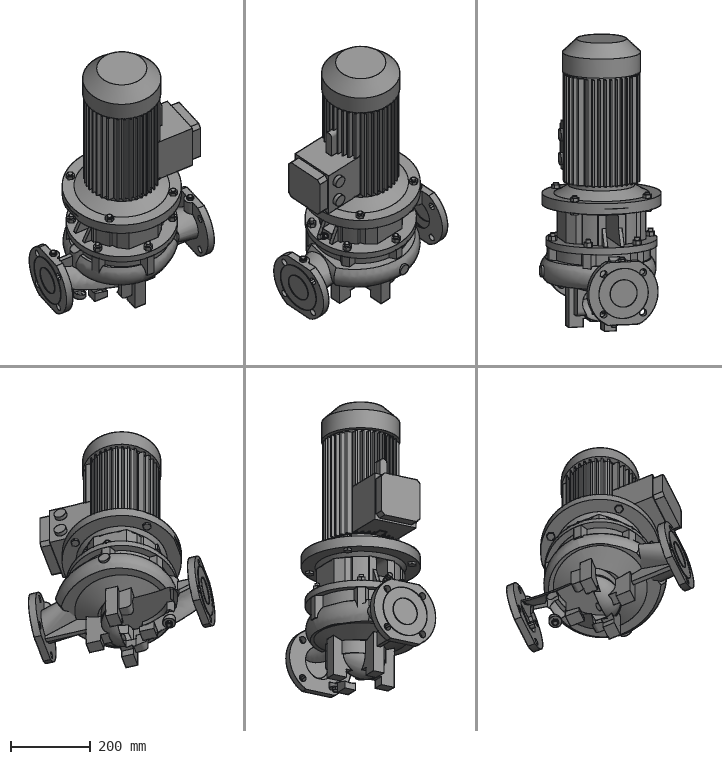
import cadquery as cq
import math

PORT_Z = 120.0
VOLUTE_BOTTOM_Z = 116.0
VOLUTE_TOP_Z = 174.0
CASING_TOP_Z = 205.0
COVER_TOP_Z = 222.5
WINDOW_TOP_Z = 300.0
MOTOR_FLANGE_Z = 310.0
MOTOR_FLANGE_TOP_Z = 338.0
SHIELD_TOP_Z = 358.0
FIN_BOTTOM_Z = 369.5
FIN_TOP_Z = 643.0
HOOD_BOTTOM_Z = 649.0
HOOD_SHOULDER_Z = 698.0
HOOD_TOP_Z = 732.0

MOTOR_FLANGE_R = 150.0
SHIELD_BASE_R = 120.0
SHIELD_NECK_R = 83.0
MOTOR_CORE_R = 86.0
FIN_OUTER_R = 96.5
FIN_PITCH = 14.5
FIN_THICKNESS = 4.0
FINS_EACH_WAY = 4
HOOD_R = 98.5
HOOD_TOP_R = 63.0
FLAT_WIDTH = 60.0
FLAT_HEIGHT = 14.0
LUG_WIDTH = 21.0
LUG_Y = 112.5
LUG_TOP_Z = 566.0
MOTOR_BOLT_CIRCLE_R = 133.0
BOLT_R = 6.0
NUT_ACROSS_CORNERS = 22.0
MOTOR_NUT_HEIGHT = 8.5
MOTOR_BOLT_HEIGHT = 13.0
MOTOR_BOLT_HEAD = 6.0

BOX_WIDTH = 121.0
BOX_INNER_Y = 61.0
BOX_OUTER_Y = 171.5
BOX_BOTTOM_Z = 372.0
BOX_TOP_Z = 496.0
LID_WIDTH = 113.0
LID_Y = 198.0
LID_INSET_Z = 5.5
LID_CHAMFER = 9.5
GLAND_R = 15.5
GLAND_LENGTH = 11.0
GLAND_Y = 141.0
GLAND_HEIGHTS = (403.0, 464.0)

COVER_R = 140.0
LANTERN_R = 105.0
FLARE_R = 115.0
PANEL_X = 104.0
PANEL_FLAT_Y = 43.0
PANEL_EDGE_X = 84.0
PANEL_EDGE_Y = 65.0
PANEL_ROOT_X = 70.0
PANEL_ROOT_Y = 71.0
FRAME_WIDTH = 72.0
WINDOW_WIDTH = 33.0
WINDOW_CORNER_R = 7.0
GUSSET_THICKNESS = 9.5
GUSSET_TOP_Z = 266.0
GUSSET_FOOT_Y = 126.0
SEAL_BLOCK_Z = 246.0
SEAL_BLOCK_INNER_Y = 70.0
SEAL_BLOCK_OUTER_Y = 118.0
SEAL_BOSS_R = 12.0
SEAL_BORE_R = 6.0
SEAL_BOSS_LENGTH = 6.0
STUD_CIRCLE_R = 127.0
STUD_COUNT = 6
STUD_NUT_HEIGHT = 11.0
STUD_HEIGHT = 18.5

VENT_TILT = 22.0
VENT_START_Y = 108.0
VENT_START_Z = 228.0
VENT_STEM_R = 5.5
VENT_STEM_LENGTH = 34.0
VENT_NUT_START = 18.0
VENT_NUT_LENGTH = 10.0
VENT_NUT_SIZE = 17.0
VENT_CAP_LENGTH = 7.0
VENT_CAP_R = 6.5

NECK_R = 123.0
STUD_LUG_OUTER_R = 139.0
STUD_LUG_INNER_R = 115.0
STUD_LUG_ROOT_WIDTH = 44.0
STUD_LUG_TIP_WIDTH = 20.0
VOLUTE_FRONT_R = 144.0
VOLUTE_LEFT_R = 155.0
VOLUTE_RIGHT_R = 136.0
VOLUTE_EDGE_SCALE = 0.915
BELLY_DEPTH = 22.0
BELLY_TOP_R = 118.0
BELLY_BOTTOM_R = 60.0
MOUTH_SHOULDER = (-124.0, 98.0)
MOUTH_LEFT = (-62.0, 155.0)
MOUTH_RIGHT = (55.0, 135.0)
SIDE_DISC_R = 14.5
SIDE_DISC_X = -158.0
PORT_FACE_Y = 220.0
PORT_FLANGE_THICKNESS = 19.0
RAISED_FACE_HEIGHT = 2.0
PORT_FLANGE_R = 90.0
PORT_FLANGE_HALF_HEIGHT = 80.0
RAISED_FACE_R = 64.0
PORT_BOLT_CIRCLE_R = 72.5
PORT_HOLE_R = 9.0
PORT_RECESS_R = 35.0
PORT_RECESS_DEPTH = 2.0
PIPE_R = 43.0
GAUGE_Y = 202.0
GAUGE_BOSS_R = 16.0
BOWL_Z = 60.0
BOWL_HALF_WIDTH = 67.0
BOWL_R = 50.0
SUCTION_BEND_Y = -110.0
SUCTION_BEND_Z = 80.0
SUCTION_BEND_HALF_WIDTH = 54.0
SUCTION_BEND_HALF_HEIGHT = 48.0
RIB_THICKNESS = 11.0
POST_WIDTH = 28.0
POST_FRONT_Y = -149.0
POST_FRONT_Z = 185.0
POST_REAR_Z = 196.0
POST_CORNER_R = 12.0
REAR_RIB_BOTTOM_Z = 68.0
LEG_REACH = 89.0
LEG_WIDTH = 31.0
LEG_NOTCH_REACH = 51.0
LEG_NOTCH_HEIGHT = 21.5
WEB_REACH = 75.0
WEB_FRONT_Y = -47.0
WEB_BOTTOM_Z = 33.0
WEB_CORNER_R = 12.0
DRAIN_Y = -124.0
DRAIN_BOSS_BOTTOM_Z = 26.0

PLUG_HEX_SIZE = 19.0
PLUG_HEX_HEIGHT = 5.0
PLUG_CAP_R = 6.0
PLUG_CAP_HEIGHT = 4.0


def disc(radius, z_low, z_high, x=0.0, y=0.0):
    """Vertical cylinder between two heights."""
    return cq.Workplane("XY", origin=(x, y, z_low)).circle(radius).extrude(z_high - z_low)


def block(x_low, x_high, y_low, y_high, z_low, z_high):
    """Box given by its limits along each axis."""
    size = (x_high - x_low, y_high - y_low, z_high - z_low)
    return cq.Workplane("XY", origin=(x_low, y_low, z_low)).box(*size, centered=False)


def hexagon(size, z_low, z_high, x=0.0, y=0.0):
    """Vertical hexagonal prism; size is across corners."""
    return cq.Workplane("XY", origin=(x, y, z_low)).polygon(6, size).extrude(z_high - z_low)


def ring_points(radius, count, start_degrees=0.0):
    """Evenly spaced points on a circle."""
    angles = [math.radians(start_degrees + 360.0 * i / count) for i in range(count)]
    return [(radius * math.cos(a), radius * math.sin(a)) for a in angles]


def make_fins():
    reach = 2 * HOOD_R
    height = FIN_TOP_Z - FIN_BOTTOM_Z
    offsets = [i * FIN_PITCH for i in range(-FINS_EACH_WAY, FINS_EACH_WAY + 1)]
    plane = cq.Workplane("XY", origin=(0, 0, FIN_BOTTOM_Z))
    lengthwise = plane.pushPoints([(x, 0) for x in offsets]).rect(FIN_THICKNESS, reach).extrude(height)
    crosswise = plane.pushPoints([(0, y) for y in offsets]).rect(reach, FIN_THICKNESS).extrude(height)
    return lengthwise.union(crosswise).intersect(disc(FIN_OUTER_R, FIN_BOTTOM_Z, FIN_TOP_Z))


def make_motor():
    profile = [
        (0, MOTOR_FLANGE_Z),
        (MOTOR_FLANGE_R, MOTOR_FLANGE_Z),
        (MOTOR_FLANGE_R, MOTOR_FLANGE_TOP_Z),
        (SHIELD_BASE_R, MOTOR_FLANGE_TOP_Z),
        (SHIELD_NECK_R, SHIELD_TOP_Z),
        (SHIELD_NECK_R, FIN_BOTTOM_Z),
        (MOTOR_CORE_R, FIN_BOTTOM_Z),
        (MOTOR_CORE_R, HOOD_BOTTOM_Z),
        (HOOD_R, HOOD_BOTTOM_Z),
        (HOOD_R, HOOD_SHOULDER_Z),
        (HOOD_TOP_R, HOOD_TOP_Z),
        (0, HOOD_TOP_Z),
    ]
    body = cq.Workplane("XZ").polyline(profile).close().revolve(360, (0, 0, 0), (0, 1, 0))
    body = body.union(make_fins())

    lug_r = LUG_WIDTH / 2
    lug = block(-lug_r, lug_r, 0, LUG_Y, FIN_BOTTOM_Z, LUG_TOP_Z - lug_r)
    lug_top = cq.Workplane("XZ", origin=(0, 0, LUG_TOP_Z - lug_r)).circle(lug_r).extrude(-LUG_Y)
    body = body.union(lug).union(lug_top)

    flat_y = math.sqrt(MOTOR_FLANGE_R**2 - (FLAT_WIDTH / 2) ** 2)
    flat = block(-FLAT_WIDTH / 2, FLAT_WIDTH / 2, -MOTOR_FLANGE_R, -flat_y,
                 MOTOR_FLANGE_Z, MOTOR_FLANGE_Z + FLAT_HEIGHT)
    body = body.cut(flat)

    for x, y in ring_points(MOTOR_BOLT_CIRCLE_R, 4, 45):
        nut_top_z = MOTOR_FLANGE_TOP_Z + MOTOR_NUT_HEIGHT
        body = body.union(hexagon(NUT_ACROSS_CORNERS, MOTOR_FLANGE_TOP_Z, nut_top_z, x, y))
        body = body.union(disc(BOLT_R, nut_top_z, MOTOR_FLANGE_TOP_Z + MOTOR_BOLT_HEIGHT, x, y))
        head_z = MOTOR_FLANGE_Z - MOTOR_BOLT_HEAD
        body = body.union(hexagon(NUT_ACROSS_CORNERS, head_z, MOTOR_FLANGE_Z, x, y))
    return body


def make_terminal_box():
    half = BOX_WIDTH / 2
    box = block(-half, half, BOX_INNER_Y, BOX_OUTER_Y, BOX_BOTTOM_Z, BOX_TOP_Z)
    lid = block(-LID_WIDTH / 2, LID_WIDTH / 2, BOX_OUTER_Y, LID_Y,
                BOX_BOTTOM_Z + LID_INSET_Z, BOX_TOP_Z - LID_INSET_Z)
    box = box.union(lid.edges("|Y").chamfer(LID_CHAMFER))
    for z in GLAND_HEIGHTS:
        gland = cq.Workplane("YZ", origin=(-half, GLAND_Y, z)).circle(GLAND_R).extrude(-GLAND_LENGTH)
        box = box.union(gland)
    return box


def make_gussets():
    side = [
        (LANTERN_R - GUSSET_THICKNESS, COVER_TOP_Z),
        (GUSSET_FOOT_Y, COVER_TOP_Z),
        (LANTERN_R, GUSSET_TOP_Z),
        (LANTERN_R - GUSSET_THICKNESS, GUSSET_TOP_Z),
    ]
    inner_x = WINDOW_WIDTH / 2
    gusset = cq.Workplane("YZ", origin=(inner_x, 0, 0)).polyline(side).close().extrude(GUSSET_THICKNESS)
    pair = gusset.union(gusset.mirror("YZ"))
    return pair.union(pair.mirror("XZ"))


def make_lantern():
    column = disc(LANTERN_R, COVER_TOP_Z, MOTOR_FLANGE_Z)
    panel_quarter = [
        (PANEL_X, PANEL_FLAT_Y),
        (PANEL_EDGE_X, PANEL_EDGE_Y),
        (PANEL_ROOT_X, PANEL_ROOT_Y),
    ]
    panel_half = panel_quarter + [(-x, y) for x, y in reversed(panel_quarter)]
    panel = panel_half + [(-x, -y) for x, y in panel_half]
    panel_height = WINDOW_TOP_Z - COVER_TOP_Z
    panels = cq.Workplane("XY", origin=(0, 0, COVER_TOP_Z)).polyline(panel).close().extrude(panel_height)
    for x_low, x_high in ((-LANTERN_R, -PANEL_ROOT_X), (PANEL_ROOT_X, LANTERN_R)):
        opening = block(x_low, x_high, -LANTERN_R, LANTERN_R, COVER_TOP_Z, WINDOW_TOP_Z)
        column = column.cut(opening)
    column = column.union(panels)

    frame = block(-FRAME_WIDTH / 2, FRAME_WIDTH / 2, -LANTERN_R, LANTERN_R, COVER_TOP_Z, WINDOW_TOP_Z)
    flare = cq.Workplane("XZ").polyline(
        [(0, WINDOW_TOP_Z), (LANTERN_R, WINDOW_TOP_Z), (FLARE_R, MOTOR_FLANGE_Z), (0, MOTOR_FLANGE_Z)]
    ).close().revolve(360, (0, 0, 0), (0, 1, 0))
    body = column.union(frame).union(flare)

    window = block(-WINDOW_WIDTH / 2, WINDOW_WIDTH / 2, -COVER_R, COVER_R, COVER_TOP_Z, WINDOW_TOP_Z)
    body = body.cut(window.edges("|Y and >Z").fillet(WINDOW_CORNER_R))

    seal_z = (COVER_TOP_Z + SEAL_BLOCK_Z) / 2
    seal_block = block(-WINDOW_WIDTH / 2, WINDOW_WIDTH / 2, SEAL_BLOCK_INNER_Y, SEAL_BLOCK_OUTER_Y,
                       COVER_TOP_Z, SEAL_BLOCK_Z)
    seal_boss = (
        cq.Workplane("XZ", origin=(0, SEAL_BLOCK_INNER_Y, seal_z))
        .circle(SEAL_BOSS_R)
        .circle(SEAL_BORE_R)
        .extrude(SEAL_BOSS_LENGTH)
    )
    body = body.union(disc(COVER_R, CASING_TOP_Z, COVER_TOP_Z))
    body = body.union(make_gussets()).union(seal_block).union(seal_boss)

    for x, y in ring_points(STUD_CIRCLE_R, STUD_COUNT):
        nut_top_z = COVER_TOP_Z + STUD_NUT_HEIGHT
        body = body.union(hexagon(NUT_ACROSS_CORNERS, COVER_TOP_Z, nut_top_z, x, y))
        body = body.union(disc(BOLT_R, nut_top_z, COVER_TOP_Z + STUD_HEIGHT, x, y))
    return body


def make_air_vent():
    tilt = math.radians(VENT_TILT)
    axis = cq.Vector(0, math.cos(tilt), math.sin(tilt))
    start = cq.Vector(0, VENT_START_Y, VENT_START_Z)

    def at(distance):
        return cq.Workplane(cq.Plane(origin=start + axis * distance, xDir=(1, 0, 0), normal=axis))

    stem = at(0).circle(VENT_STEM_R).extrude(VENT_STEM_LENGTH)
    nut = at(VENT_NUT_START).polygon(6, VENT_NUT_SIZE).extrude(VENT_NUT_LENGTH)
    cap = at(VENT_STEM_LENGTH).circle(VENT_CAP_R).extrude(VENT_CAP_LENGTH)
    return stem.union(nut).union(cap)


def make_port_flange():
    """Flange on the front port, with its raised face toward -Y."""
    back_y = -PORT_FACE_Y + RAISED_FACE_HEIGHT + PORT_FLANGE_THICKNESS
    rim = cq.Workplane("XZ", origin=(0, back_y, PORT_Z)).circle(PORT_FLANGE_R).extrude(PORT_FLANGE_THICKNESS)
    trim = block(-PORT_FLANGE_R, PORT_FLANGE_R, -PORT_FACE_Y, back_y,
                 PORT_Z - PORT_FLANGE_HALF_HEIGHT, PORT_Z + PORT_FLANGE_HALF_HEIGHT)
    flange = rim.intersect(trim)
    holes = (
        cq.Workplane("XZ", origin=(0, back_y, PORT_Z))
        .pushPoints(ring_points(PORT_BOLT_CIRCLE_R, 4, 45))
        .circle(PORT_HOLE_R)
        .extrude(PORT_FLANGE_THICKNESS)
    )
    face = cq.Workplane("XZ", origin=(0, back_y, PORT_Z)).circle(RAISED_FACE_R).extrude(
        PORT_FLANGE_THICKNESS + RAISED_FACE_HEIGHT)
    boss = disc(GAUGE_BOSS_R, PORT_Z, PORT_Z + PORT_FLANGE_HALF_HEIGHT, 0, -GAUGE_Y)
    boss = boss.intersect(block(-GAUGE_BOSS_R, GAUGE_BOSS_R, -GAUGE_Y, 0, PORT_Z, CASING_TOP_Z))
    recess = cq.Workplane("XZ", origin=(0, -PORT_FACE_Y + PORT_RECESS_DEPTH, PORT_Z))
    recess = recess.circle(PORT_RECESS_R).extrude(PORT_RECESS_DEPTH)
    return flange.cut(holes).union(face).cut(recess).union(boss)


def volute_section(scale, z):
    """Spiral outline at one height, with its mouth toward the rear pipe."""
    diagonal = math.sqrt(0.5)
    front_left = diagonal * (VOLUTE_LEFT_R + VOLUTE_FRONT_R) / 2
    front_right = diagonal * (VOLUTE_RIGHT_R + VOLUTE_FRONT_R) / 2
    rear_right = diagonal * VOLUTE_RIGHT_R

    def scaled(x, y):
        return (scale * x, scale * y)

    return (
        cq.Workplane("XY", origin=(0, 0, z))
        .moveTo(*scaled(VOLUTE_RIGHT_R, 0))
        .threePointArc(scaled(front_right, -front_right), scaled(0, -VOLUTE_FRONT_R))
        .threePointArc(scaled(-front_left, -front_left), scaled(-VOLUTE_LEFT_R, 0))
        .threePointArc(scaled(*MOUTH_SHOULDER), scaled(*MOUTH_LEFT))
        .lineTo(*scaled(*MOUTH_RIGHT))
        .threePointArc(scaled(rear_right, rear_right), scaled(VOLUTE_RIGHT_R, 0))
        .close()
        .val()
    )


def make_volute():
    """Spiral ring with bulging sides, widest at mid height, and the cone below it."""
    middle_z = (VOLUTE_BOTTOM_Z + VOLUTE_TOP_Z) / 2
    sections = [
        volute_section(VOLUTE_EDGE_SCALE, VOLUTE_BOTTOM_Z),
        volute_section(1.0, middle_z),
        volute_section(VOLUTE_EDGE_SCALE, VOLUTE_TOP_Z),
    ]
    spiral = cq.Workplane(cq.Solid.makeLoft(sections))
    belly = cq.Workplane("XZ").polyline([
        (0, VOLUTE_BOTTOM_Z),
        (BELLY_TOP_R, VOLUTE_BOTTOM_Z),
        (BELLY_BOTTOM_R, VOLUTE_BOTTOM_Z - BELLY_DEPTH),
        (0, VOLUTE_BOTTOM_Z - BELLY_DEPTH),
    ]).close().revolve(360, (0, 0, 0), (0, 1, 0))
    disc_boss = cq.Workplane("YZ", origin=(SIDE_DISC_X, 0, middle_z))
    return spiral.union(belly).union(disc_boss.circle(SIDE_DISC_R).extrude(-SIDE_DISC_X - NECK_R))


def make_discharge_pipe():
    outlet_y = 115.0
    outlet_z = (VOLUTE_BOTTOM_Z + VOLUTE_TOP_Z) / 2
    outlet_half_height = (VOLUTE_TOP_Z - VOLUTE_BOTTOM_Z) / 2
    outlet_half_width = 62.0
    run = PORT_FACE_Y - PORT_FLANGE_THICKNESS - outlet_y
    return (
        cq.Workplane("XZ", origin=(0, outlet_y, outlet_z))
        .ellipse(outlet_half_width, outlet_half_height)
        .workplane(offset=-run)
        .center(0, PORT_Z - outlet_z)
        .circle(PIPE_R)
        .loft(ruled=True)
    )


def make_suction_elbow():
    bowl = (
        cq.Workplane("XY", origin=(0, 0, BOWL_Z))
        .moveTo(-BOWL_HALF_WIDTH, 0)
        .threePointArc((0, BOWL_R), (BOWL_HALF_WIDTH, 0))
        .close()
        .revolve(360, (0, 0, 0), (1, 0, 0))
    )
    riser = cq.Workplane("XY", origin=(0, 0, BOWL_Z)).ellipse(BOWL_HALF_WIDTH, BOWL_R)
    riser = riser.extrude(VOLUTE_BOTTOM_Z - BOWL_Z)
    run = PORT_FACE_Y - PORT_FLANGE_THICKNESS
    pipe = (
        cq.Workplane("XZ", origin=(0, 0, BOWL_Z))
        .ellipse(BOWL_HALF_WIDTH, BOWL_R)
        .workplane(offset=-SUCTION_BEND_Y)
        .center(0, SUCTION_BEND_Z - BOWL_Z)
        .ellipse(SUCTION_BEND_HALF_WIDTH, SUCTION_BEND_HALF_HEIGHT)
        .workplane(offset=run + SUCTION_BEND_Y)
        .center(0, PORT_Z - SUCTION_BEND_Z)
        .circle(PIPE_R)
        .loft()
    )
    return bowl.union(riser).union(pipe)


def make_stand():
    """Two crossed plates standing on four feet."""
    half = LEG_WIDTH / 2
    plate = block(-LEG_REACH, LEG_REACH, -half, half, 0, PORT_Z)
    plate = plate.cut(block(-LEG_NOTCH_REACH, LEG_NOTCH_REACH, -half, half, 0, LEG_NOTCH_HEIGHT))
    web = block(-WEB_REACH, WEB_REACH, WEB_FRONT_Y, 0, WEB_BOTTOM_Z, VOLUTE_BOTTOM_Z)
    web = web.edges("|X and <Y and <Z").fillet(WEB_CORNER_R)
    return plate.union(plate.rotate((0, 0, 0), (0, 0, 1), 90)).union(web)


def make_stud_lugs():
    trapezoid = [
        (STUD_LUG_INNER_R, -STUD_LUG_ROOT_WIDTH / 2),
        (STUD_LUG_OUTER_R, -STUD_LUG_TIP_WIDTH / 2),
        (STUD_LUG_OUTER_R, STUD_LUG_TIP_WIDTH / 2),
        (STUD_LUG_INNER_R, STUD_LUG_ROOT_WIDTH / 2),
    ]
    bottom_z = (VOLUTE_BOTTOM_Z + VOLUTE_TOP_Z) / 2
    lug = cq.Workplane("XY", origin=(0, 0, bottom_z)).polyline(trapezoid).close()
    lug = lug.extrude(CASING_TOP_Z - bottom_z)
    lugs = lug
    for i in range(1, STUD_COUNT):
        lugs = lugs.union(lug.rotate((0, 0, 0), (0, 0, 1), 360.0 * i / STUD_COUNT))
    return lugs


def make_post():
    side = [
        (-NECK_R, PORT_Z),
        (POST_FRONT_Y, PORT_Z),
        (POST_FRONT_Y, POST_FRONT_Z),
        (-NECK_R, POST_REAR_Z),
    ]
    post = cq.Workplane("YZ", origin=(-POST_WIDTH / 2, 0, 0)).polyline(side).close().extrude(POST_WIDTH)
    post = post.edges("|Z and <Y").fillet(POST_CORNER_R)
    root = block(-POST_WIDTH / 2, POST_WIDTH / 2, -NECK_R, -STUD_LUG_INNER_R, PORT_Z, POST_REAR_Z)
    return post.union(root)


def make_casing():
    """Joined without merging neighbouring faces, which keeps the freeform pipes as they are."""
    half_rib = RIB_THICKNESS / 2
    flange_back_y = PORT_FACE_Y - PORT_FLANGE_THICKNESS
    port_flange = make_port_flange()
    parts = [
        disc(NECK_R, VOLUTE_BOTTOM_Z, CASING_TOP_Z),
        make_stud_lugs(),
        make_discharge_pipe(),
        make_suction_elbow(),
        make_stand(),
        block(-half_rib, half_rib, -flange_back_y, -NECK_R, PORT_Z, VOLUTE_TOP_Z),
        block(-half_rib, half_rib, 0, flange_back_y, REAR_RIB_BOTTOM_Z, PORT_Z),
        make_post(),
        disc(GAUGE_BOSS_R, DRAIN_BOSS_BOTTOM_Z, PORT_Z, 0, DRAIN_Y),
        port_flange,
        port_flange.mirror("XZ"),
    ]
    body = make_volute()
    for part in parts:
        body = body.union(part, clean=False)
    return body


def make_plug(y, seat_z, direction):
    """Hexagon with a round cap, standing on its seat; direction is +1 up or -1 down."""
    plug = hexagon(PLUG_HEX_SIZE, 0, PLUG_HEX_HEIGHT)
    plug = plug.union(disc(PLUG_CAP_R, PLUG_HEX_HEIGHT, PLUG_HEX_HEIGHT + PLUG_CAP_HEIGHT))
    if direction < 0:
        plug = plug.mirror("XY")
    return plug.translate((0, y, seat_z))


terminal_box = make_terminal_box()
motor = make_motor().cut(terminal_box)
air_vent = make_air_vent()
lantern = make_lantern().cut(air_vent)
casing = make_casing()
gauge_seat_z = PORT_Z + PORT_FLANGE_HALF_HEIGHT
plug_seats = [(-GAUGE_Y, gauge_seat_z, 1), (GAUGE_Y, gauge_seat_z, 1), (DRAIN_Y, DRAIN_BOSS_BOTTOM_Z, -1)]
plugs = [make_plug(*seat).val() for seat in plug_seats]

result = cq.Compound.makeCompound(
    [motor.val(), terminal_box.val(), lantern.val(), air_vent.val(), casing.val(), *plugs]
)